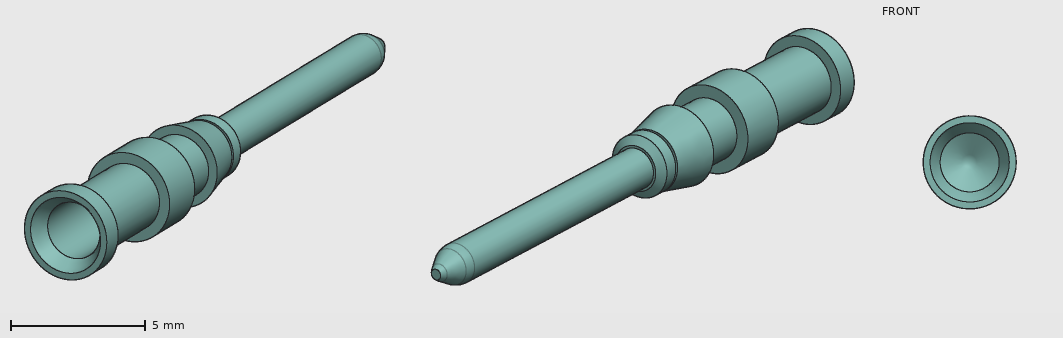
import cadquery as cq
import math

LENGTH = 25.0

COLLAR_DIAMETER = 3.48
BARREL_DIAMETER = 2.62
NECK_DIAMETER = 2.48
BARB_DIAMETER = 3.2
GROOVE_DIAMETER = 2.0
RING_NOSE_DIAMETER = 1.8
PIN_DIAMETER = 1.6
TAPER_DIAMETER = 1.42
NOSE_DIAMETER = 0.7
TIP_DIAMETER = 0.42

LIP_LENGTH = 0.9
BARREL_LENGTH = 4.1
COLLAR_LENGTH = 2.0
NECK_LENGTH = 2.05
BARB_LENGTH = 1.85
GROOVE_WIDTH = 0.12
RING_LENGTH = 0.58
RING_CHAMFER_LENGTH = 0.25

SHOULDER_SETBACK = 1.38
TAPER_SETBACK = 0.95
NOSE_SETBACK = 0.22

ENTRY_DIAMETER = 2.95
BORE_DIAMETER = 2.2
COUNTERSINK_ANGLE = 60.0
BORE_DEPTH = LIP_LENGTH + BARREL_LENGTH
DRILL_POINT_ANGLE = 118.0

ORIGIN = (0, 0, 0)
Y_DIRECTION = (0, 1, 0)


def tangent_arc_middle(start, end):
    """Midpoint of an arc leaving start parallel to the axis and ending at end."""
    (start_radius, start_y), (end_radius, end_y) = start, end
    drop = start_radius - end_radius
    run = end_y - start_y
    arc_radius = (drop**2 + run**2) / (2 * drop)
    half_angle = math.atan2(drop, run)
    return (
        start_radius - arc_radius * (1 - math.cos(half_angle)),
        start_y + arc_radius * math.sin(half_angle),
    )


def nose_arc_middle(start, end):
    """Midpoint of the convex arc that continues the pin taper around the nose."""
    chord = math.dist(start, end)
    taper_angle = math.atan2((TAPER_DIAMETER - NOSE_DIAMETER) / 2, TAPER_SETBACK - NOSE_SETBACK)
    chord_angle = math.atan2(start[0] - end[0], end[1] - start[1])
    bulge = chord / 2 * math.tan((chord_angle - taper_angle) / 2)
    return (
        (start[0] + end[0]) / 2 + bulge * math.cos(chord_angle),
        (start[1] + end[1]) / 2 + bulge * math.sin(chord_angle),
    )


def make_body():
    """Revolve the outer profile, including the rounded pin tip."""
    sections = [
        (LIP_LENGTH, COLLAR_DIAMETER, COLLAR_DIAMETER),
        (BARREL_LENGTH, BARREL_DIAMETER, BARREL_DIAMETER),
        (COLLAR_LENGTH, COLLAR_DIAMETER, COLLAR_DIAMETER),
        (NECK_LENGTH, NECK_DIAMETER, NECK_DIAMETER),
        (BARB_LENGTH, BARB_DIAMETER, NECK_DIAMETER),
        (GROOVE_WIDTH, GROOVE_DIAMETER, GROOVE_DIAMETER),
        (RING_LENGTH, NECK_DIAMETER, NECK_DIAMETER),
        (RING_CHAMFER_LENGTH, NECK_DIAMETER, RING_NOSE_DIAMETER),
    ]
    profile = cq.Workplane("XY").moveTo(0, 0)
    previous_diameter = 0
    y = 0
    for length, start_diameter, end_diameter in sections:
        if start_diameter != previous_diameter:
            profile = profile.lineTo(start_diameter / 2, y)
        y += length
        profile = profile.lineTo(end_diameter / 2, y)
        previous_diameter = end_diameter

    shoulder = (PIN_DIAMETER / 2, LENGTH - SHOULDER_SETBACK)
    taper = (TAPER_DIAMETER / 2, LENGTH - TAPER_SETBACK)
    nose = (NOSE_DIAMETER / 2, LENGTH - NOSE_SETBACK)
    tip = (TIP_DIAMETER / 2, LENGTH)
    profile = (
        profile.lineTo(PIN_DIAMETER / 2, y)
        .lineTo(*shoulder)
        .threePointArc(tangent_arc_middle(shoulder, taper), taper)
        .lineTo(*nose)
        .threePointArc(nose_arc_middle(nose, tip), tip)
        .lineTo(0, LENGTH)
        .close()
    )
    return profile.revolve(360, ORIGIN, Y_DIRECTION)


def make_bore():
    """Drilled wire bore with an entry countersink and a conical bottom."""
    entry_radius = ENTRY_DIAMETER / 2
    bore_radius = BORE_DIAMETER / 2
    countersink_depth = (entry_radius - bore_radius) / math.tan(math.radians(COUNTERSINK_ANGLE / 2))
    point_length = bore_radius / math.tan(math.radians(DRILL_POINT_ANGLE / 2))
    profile = (
        cq.Workplane("XY")
        .moveTo(0, 0)
        .lineTo(entry_radius, 0)
        .lineTo(bore_radius, countersink_depth)
        .lineTo(bore_radius, BORE_DEPTH)
        .lineTo(0, BORE_DEPTH + point_length)
        .close()
    )
    return profile.revolve(360, ORIGIN, Y_DIRECTION)


result = make_body().cut(make_bore())